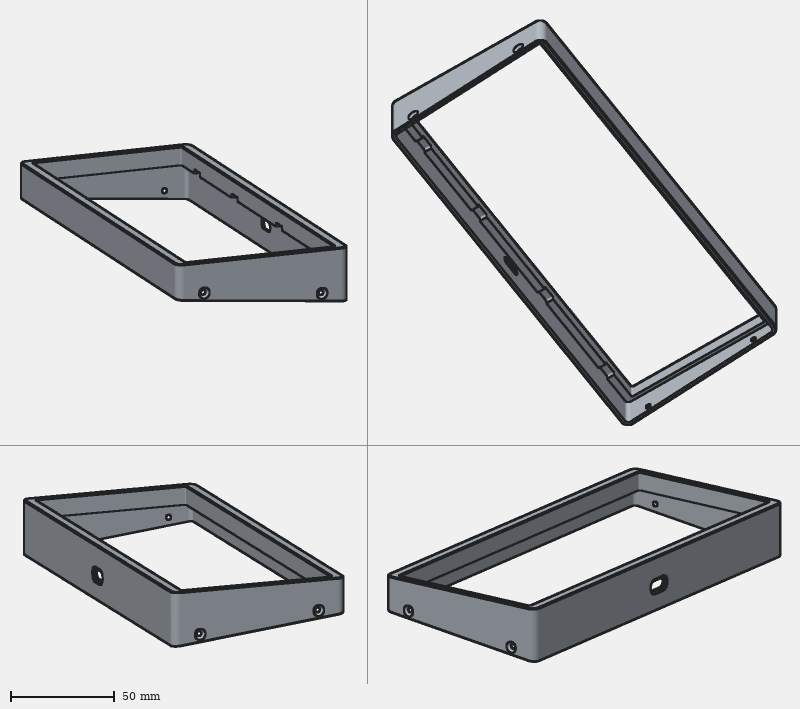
import cadquery as cq
import math

length = 204.3
width = 89.3
overall_height = 27.4
slope = math.radians(6.0)
edge_chamfer = 0.5
rear_height = overall_height + edge_chamfer * math.sin(slope)
front_height = rear_height - width * math.tan(slope)
corner_radius = 3.9

end_lip = 3.9
long_lip = 6.0
lip_height = 9.4
opening_radius = 0.6
wall = 1.95
cavity_radius = corner_radius - wall

screw_hole_diameter = 2.5
screw_head_diameter = 5.5
screw_head_angle = 90.0
screw_spacing = 61.3
screw_hole_height = 4.0

notch_width = 7.4
notch_height = 2.0
notch_corner_radius = 0.6
notch_places = (-78.2, -30.5, 26.8, 79.3)

cable_slot_width = 11.0
cable_slot_height = 5.0
cable_slot_z = -15.0
plug_recess_margin = 1.5
plug_recess_depth = 1.0


def underside_z(y):
    """Height of the sloping underside at a given Y."""
    return -(front_height + rear_height) / 2 - y * math.tan(slope)


def rounded_block(size_x, size_y, depth, radius, top=0.0):
    """Block with rounded vertical edges, hanging down from Z = top."""
    block = cq.Workplane("XY").workplane(offset=top).rect(size_x, size_y).extrude(-depth)
    return block.edges("|Z").fillet(radius)


def outer_body():
    """Rounded wedge with chamfered top and bottom outlines."""
    half = width / 2
    side = [(-half, 0), (half, 0), (half, -rear_height), (-half, -front_height)]
    wedge = cq.Workplane("YZ").polyline(side).close().extrude(length / 2, both=True)
    body = wedge.edges("|Z").fillet(corner_radius)
    return body.faces(">Z or <Z").edges().chamfer(edge_chamfer)


def rim_opening():
    """Opening through the rim, flared by a chamfer at the top."""
    size_x = length - 2 * end_lip
    size_y = width - 2 * long_lip
    opening = rounded_block(size_x, size_y, rear_height, opening_radius)
    flare = (
        rounded_block(size_x + 2 * edge_chamfer, size_y + 2 * edge_chamfer, rear_height,
                      opening_radius + edge_chamfer)
        .faces("<Z").edges().chamfer(edge_chamfer)
        .translate((0, 0, rear_height - edge_chamfer))
    )
    return opening.union(flare)


def cavity():
    """Wider space below the lip, open at the underside."""
    return rounded_block(length - 2 * wall, width - 2 * wall, rear_height, cavity_radius, -lip_height)


def lip_notches():
    """Notches in the rear lip, reaching back to the cavity wall."""
    places = [(x, -lip_height) for x in notch_places]
    cutter = (
        cq.Workplane("XZ").pushPoints(places)
        .rect(notch_width, 2 * notch_height).extrude(wall - width / 2)
    )
    return cutter.edges("|Y").fillet(notch_corner_radius)


def screw_hole(y):
    """Hole along X through both end walls, countersunk on the outside."""
    z = underside_z(y) + screw_hole_height
    hole = cq.Workplane("YZ").center(y, z).circle(screw_hole_diameter / 2).extrude(length / 2, both=True)
    head_radius = screw_head_diameter / 2
    sink_depth = head_radius / math.tan(math.radians(screw_head_angle / 2))
    for side in (-1, 1):
        sink = cq.Solid.makeCone(head_radius, 0, sink_depth,
                                 cq.Vector(side * length / 2, y, z), cq.Vector(-side, 0, 0))
        hole = hole.union(cq.Workplane(sink))
    return hole


def cable_slot():
    """Round-ended slot through the rear wall, inside a wider recess in the outer face."""
    slot = (
        cq.Workplane("XZ").center(0, cable_slot_z)
        .slot2D(cable_slot_width, cable_slot_height).extrude(-width / 2)
    )
    recess = (
        cq.Workplane("XZ", origin=(0, width / 2, cable_slot_z))
        .slot2D(cable_slot_width + 2 * plug_recess_margin, cable_slot_height + 2 * plug_recess_margin)
        .extrude(plug_recess_depth)
    )
    return slot.union(recess)


result = outer_body().cut(rim_opening()).cut(cavity()).cut(lip_notches()).cut(cable_slot())
for hole_y in (-screw_spacing / 2, screw_spacing / 2):
    result = result.cut(screw_hole(hole_y))